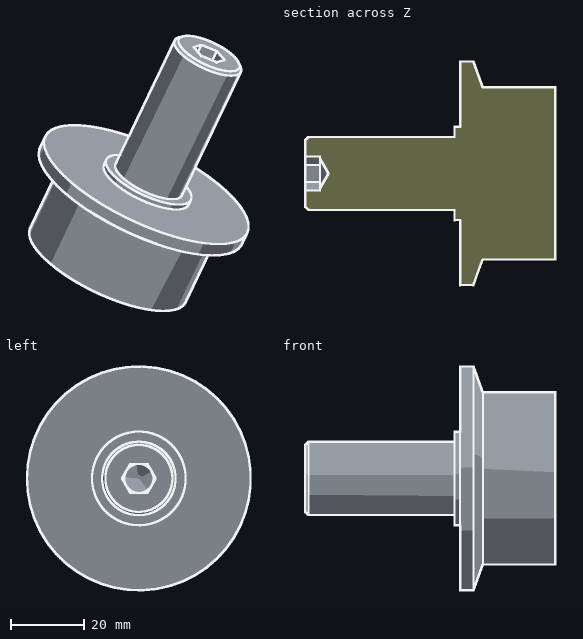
import cadquery as cq
import math

total_length = 68.1
stud_length = 40.6
collar_thickness = 1.6
rim_thickness = 3.7
cone_length = 2.5

stud_diameter = 20.0
collar_diameter = 25.55
flange_diameter = 61.0
tread_diameter = 47.0

stud_chamfer = 0.9

socket_across_flats = 8.0
socket_depth = 4.0
drill_point_angle = 120.0

rim_start = stud_length + collar_thickness
rim_end = rim_start + rim_thickness
tread_start = rim_end + cone_length


def make_body():
    """Revolve the stepped half profile of stud, collar and flanged wheel about X."""
    stud_radius = stud_diameter / 2
    collar_radius = collar_diameter / 2
    flange_radius = flange_diameter / 2
    tread_radius = tread_diameter / 2
    profile = [
        (0, 0),
        (0, stud_radius - stud_chamfer),
        (stud_chamfer, stud_radius),
        (stud_length, stud_radius),
        (stud_length, collar_radius),
        (rim_start, collar_radius),
        (rim_start, flange_radius),
        (rim_end, flange_radius),
        (tread_start, tread_radius),
        (total_length, tread_radius),
        (total_length, 0),
    ]
    return cq.Workplane("XY").polyline(profile).close().revolve(360, (0, 0, 0), (1, 0, 0))


def make_socket():
    """Hexagonal prism with corners on the Y axis, ending in a cone."""
    across_corners = socket_across_flats / math.cos(math.radians(30))
    prism = cq.Workplane("YZ").polygon(6, across_corners).extrude(socket_depth)

    cone_radius = socket_across_flats / 2
    cone_depth = cone_radius / math.tan(math.radians(drill_point_angle / 2))
    drill_point = (
        cq.Workplane("XY")
        .polyline([(0, 0), (0, cone_radius), (socket_depth, cone_radius), (socket_depth + cone_depth, 0)])
        .close()
        .revolve(360, (0, 0, 0), (1, 0, 0))
    )
    return prism.union(drill_point)


result = make_body().cut(make_socket())